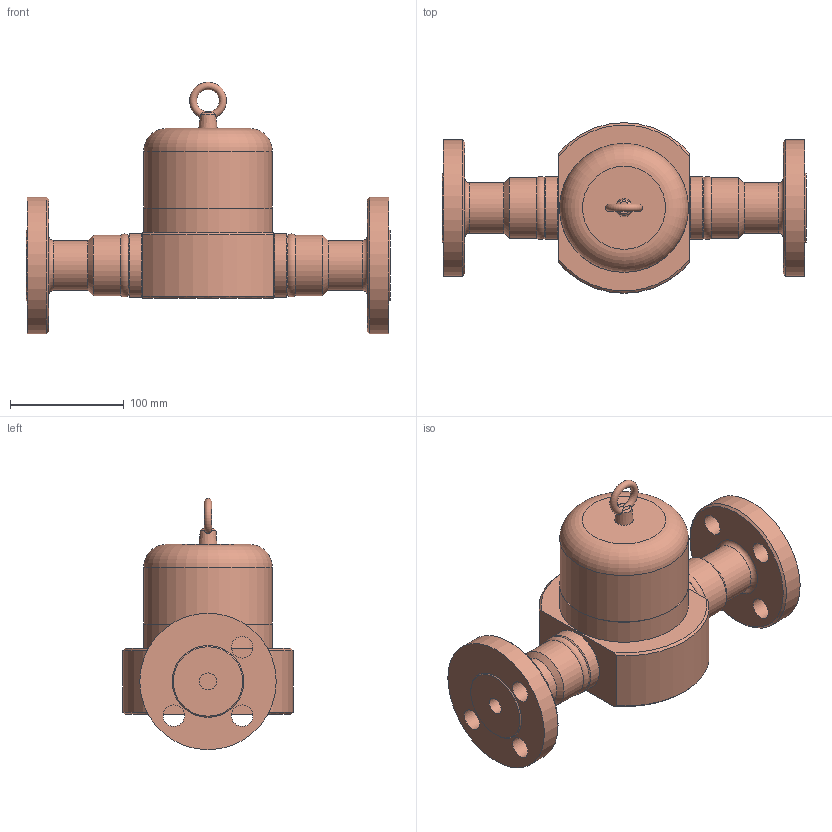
import cadquery as cq
import math


housing_radius = 75.0
housing_half_height = 29.0
housing_half_width = 57.5
housing_chamfer = 2.0

skirt_radius = 113.4 / 2
cap_radius = 113.0 / 2
seam_height = 50.5
cap_top = 120.5
dome_radius = 20.0

eye_top = 161.1
ring_outer_radius = 32.5 / 2
ring_wire_radius = 3.2
stem_base_radius = 8.0
stem_top_radius = 7.0
stem_chamfer = 1.8
stem_top = 134.8

flange_face = 160.0
flange_radius = 60.0
flange_back = 140.0
flange_chamfer = 2.0
raised_face_height = 1.0
raised_face_radius = 31.5
neck_radius = 22.0
neck_fillet = 4.0
collar_radius = 53.0 / 2
collar_outer = 101.0
taper_length = collar_radius - neck_radius
weld_outer = 76.8
weld_inner = 70.2
weld_crown_radius = 27.7
sleeve_radius = 55.5 / 2
sleeve_chamfer = 1.0
bore_radius = 7.5

bolt_hole_radius = 9.5
bolt_circle_radius = 42.5
outlet_bolt_angles = (45, 135, 225, 315)
inlet_bolt_angles = (135, 225, 315)

diagonal = math.sin(math.radians(45))


def make_housing():
    body = cq.Workplane("XY").circle(housing_radius).extrude(2 * housing_half_height)
    body = body.faces("|Z").edges().chamfer(housing_chamfer)
    body = body.translate((0, 0, -housing_half_height))
    envelope = cq.Workplane("XY").box(
        2 * housing_half_width, 2 * housing_radius, 2 * housing_half_height
    )
    return body.intersect(envelope)


def make_bonnet():
    dome_start = cap_top - dome_radius
    dome_flat_radius = cap_radius - dome_radius
    arc_reach = dome_radius * diagonal
    profile = (
        cq.Workplane("XZ")
        .lineTo(skirt_radius, 0)
        .lineTo(skirt_radius, seam_height)
        .lineTo(cap_radius, seam_height)
        .lineTo(cap_radius, dome_start)
        .threePointArc(
            (dome_flat_radius + arc_reach, dome_start + arc_reach),
            (dome_flat_radius, cap_top),
        )
        .lineTo(0, cap_top)
        .close()
    )
    return profile.revolve(360, (0, 0, 0), (0, 1, 0))


def make_lifting_eye():
    ring_path_radius = ring_outer_radius - ring_wire_radius
    stem_height = stem_top - cap_top
    stem = (
        cq.Workplane("XZ", origin=(0, 0, cap_top))
        .lineTo(stem_base_radius, 0)
        .lineTo(stem_top_radius, stem_height - stem_chamfer)
        .lineTo(stem_top_radius - stem_chamfer, stem_height)
        .lineTo(0, stem_height)
        .close()
        .revolve(360, (0, 0, 0), (0, 1, 0))
    )
    ring = (
        cq.Workplane("YZ", origin=(0, 0, eye_top - ring_outer_radius))
        .center(0, -ring_path_radius)
        .circle(ring_wire_radius)
        .revolve(360, (0, ring_path_radius, 0), (1, ring_path_radius, 0))
    )
    return stem.union(ring)


def make_pipe(bolt_angles):
    """Pipe, flange and blind bore on the +X side; bolt angles run from +Y towards +Z."""
    flange_front = flange_face - raised_face_height
    neck_arc_offset = neck_fillet * (1 - diagonal)
    sleeve_end_radius = sleeve_radius - sleeve_chamfer
    weld_middle = (weld_outer + weld_inner) / 2
    pipe = (
        cq.Workplane("XY")
        .lineTo(0, sleeve_end_radius)
        .lineTo(housing_half_width, sleeve_end_radius)
        .lineTo(housing_half_width + sleeve_chamfer, sleeve_radius)
        .lineTo(weld_inner - sleeve_chamfer, sleeve_radius)
        .lineTo(weld_inner, sleeve_end_radius)
        .threePointArc((weld_middle, weld_crown_radius), (weld_outer, collar_radius))
        .lineTo(collar_outer, collar_radius)
        .lineTo(collar_outer + taper_length, neck_radius)
        .lineTo(flange_back - neck_fillet, neck_radius)
        .threePointArc(
            (flange_back - neck_arc_offset, neck_radius + neck_arc_offset),
            (flange_back, neck_radius + neck_fillet),
        )
        .lineTo(flange_back, flange_radius - flange_chamfer)
        .lineTo(flange_back + flange_chamfer, flange_radius)
        .lineTo(flange_front, flange_radius)
        .lineTo(flange_front, raised_face_radius)
        .lineTo(flange_face, raised_face_radius - raised_face_height)
        .lineTo(flange_face, 0)
        .close()
        .revolve(360, (0, 0, 0), (1, 0, 0))
    )
    bolt_centres = [
        (
            bolt_circle_radius * math.cos(math.radians(angle)),
            bolt_circle_radius * math.sin(math.radians(angle)),
        )
        for angle in bolt_angles
    ]
    bolt_holes = (
        cq.Workplane("YZ", origin=(flange_back, 0, 0))
        .pushPoints(bolt_centres)
        .circle(bolt_hole_radius)
        .extrude(flange_face - flange_back)
    )
    bore = (
        cq.Workplane("YZ", origin=(housing_half_width, 0, 0))
        .circle(bore_radius)
        .extrude(flange_face - housing_half_width)
    )
    return pipe.cut(bolt_holes).cut(bore)


outlet = make_pipe(outlet_bolt_angles)
inlet = make_pipe(inlet_bolt_angles).mirror("YZ")

result = make_housing().union(make_bonnet()).union(make_lifting_eye())
result = result.union(outlet).union(inlet)